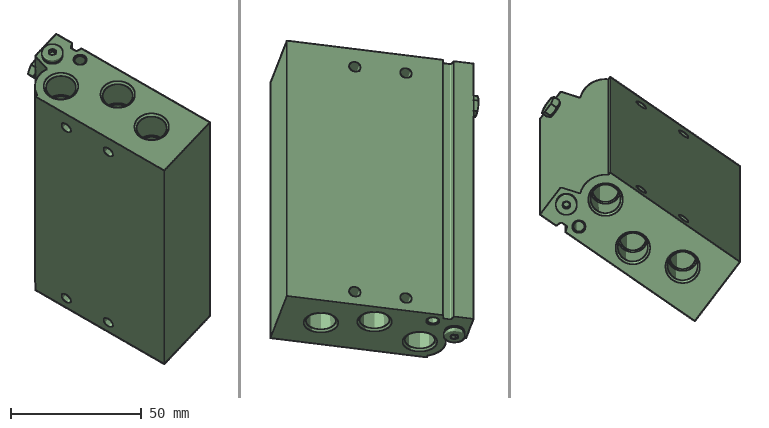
import cadquery as cq
import math

OVERALL_LENGTH = 123.3
OVERALL_WIDTH = 76.5
BLOCK_LENGTH = 118.0
BLOCK_WIDTH = 73.1
BLOCK_DEPTH = 29.5

LIP_Y = 15.9
STEP_Y = 13.6
LIP_RADIUS = 0.5
STEP_RADIUS = 0.4
FOOT_X = 11.8
NOSE_RADIUS = 10.0

GROOVE_X = 9.9
GROOVE_MOUTH = 4.3
GROOVE_FLOOR = 3.0
GROOVE_DEPTH = 2.2
GROOVE_RADIUS = 0.7

PORT_CENTRES = [(16.8, 9.9), (36.6, 19.5), (56.5, 14.4)]
PORT_MOUTH_DIAMETER = 13.2
PORT_THREAD_DIAMETER = 11.5
PORT_BORE_DIAMETER = 10.0
PORT_THREAD_DEPTH = 12.3

PILOT_CENTRE = (14.9, 24.7)
PILOT_MOUTH_DIAMETER = 5.0
PILOT_DIAMETER = 4.2

MOUNT_DIAMETER = 4.5
MOUNT_X = [26.5, 46.5]
MOUNT_Z = [5.8, 109.7]

PLUG_CENTRE = (5.4, 19.7)
PLUG_HEIGHT = (OVERALL_LENGTH - BLOCK_LENGTH) / 2
PLUG_HEAD_DIAMETER = 8.0
PLUG_EDGE_RADIUS = 0.2
PLUG_NECK_DIAMETER = PLUG_HEAD_DIAMETER - 2 * PLUG_EDGE_RADIUS
PLUG_NECK_HEIGHT = 0.7
SOCKET_FLATS = 2.5
SOCKET_MOUTH_DIAMETER = 3.0
SOCKET_DEPTH = 1.5

SCREW_Y = PLUG_CENTRE[1]
SCREW_Z = 105.0
SCREW_HEIGHT = OVERALL_WIDTH - BLOCK_WIDTH
SCREW_FLATS = 7.0
SCREW_NECK_HEIGHT = 0.4
SCREW_INNER_CHAMFER = 0.5
SCREW_OUTER_CHAMFER = 0.1


def hexagon_corners(flats):
    """Diameter of the circle through the corners of a hexagon."""
    return flats / math.cos(math.pi / 6)


def cylinder(centre, diameter, bottom, height):
    return cq.Workplane("XY", origin=(*centre, bottom)).circle(diameter / 2).extrude(height)


def countersunk_bore(centre, mouth_diameter, diameter):
    """Cutter for a bore through the block with a 45 degree countersink at both ends."""
    x, y = centre
    mouth = mouth_diameter / 2
    bore = diameter / 2
    sink = mouth - bore
    profile = [
        (0, 0), (mouth, 0), (bore, sink),
        (bore, BLOCK_LENGTH - sink), (mouth, BLOCK_LENGTH), (0, BLOCK_LENGTH),
    ]
    return cq.Workplane("XZ").polyline(profile).close().revolve(360, (0, 0), (0, 1)).translate((x, y, 0))


def port(centre):
    """Cutter for a through bore with a wider, countersunk thread bore at each end."""
    core_length = BLOCK_LENGTH - 2 * PORT_THREAD_DEPTH
    sleeve = cylinder(centre, PORT_THREAD_DIAMETER, PORT_THREAD_DEPTH, core_length)
    sleeve = sleeve.cut(cylinder(centre, PORT_BORE_DIAMETER, PORT_THREAD_DEPTH, core_length))
    return countersunk_bore(centre, PORT_MOUTH_DIAMETER, PORT_THREAD_DIAMETER).cut(sleeve)


def nose_top_x():
    """X of the point where the lip underside meets the rounded nose."""
    nose_x, nose_y = PORT_CENTRES[0]
    return nose_x - math.sqrt(NOSE_RADIUS**2 - (STEP_Y - nose_y) ** 2)


def vertical_edge_at(x, y):
    """Selector for the full-length edge of the block at the given outline corner."""
    return cq.selectors.NearestToPointSelector((x, y, BLOCK_LENGTH / 2))


def block_outline():
    nose_x, nose_y = PORT_CENTRES[0]
    nose_left = (nose_x - NOSE_RADIUS, nose_y)
    nose_foot = (FOOT_X, nose_y - math.sqrt(NOSE_RADIUS**2 - (nose_x - FOOT_X) ** 2))
    return (
        cq.Workplane("XY")
        .moveTo(FOOT_X, 0)
        .lineTo(BLOCK_WIDTH, 0)
        .lineTo(BLOCK_WIDTH, BLOCK_DEPTH)
        .lineTo(GROOVE_X + GROOVE_MOUTH / 2, BLOCK_DEPTH)
        .lineTo(GROOVE_X + GROOVE_FLOOR / 2, BLOCK_DEPTH - GROOVE_DEPTH)
        .lineTo(GROOVE_X - GROOVE_FLOOR / 2, BLOCK_DEPTH - GROOVE_DEPTH)
        .lineTo(GROOVE_X - GROOVE_MOUTH / 2, BLOCK_DEPTH)
        .lineTo(0, BLOCK_DEPTH)
        .lineTo(0, LIP_Y)
        .lineTo(nose_top_x(), STEP_Y)
        .threePointArc(nose_left, nose_foot)
        .close()
    )


def make_block():
    block = block_outline().extrude(BLOCK_LENGTH)
    block = block.edges(vertical_edge_at(0, LIP_Y)).fillet(LIP_RADIUS)
    block = block.edges(vertical_edge_at(nose_top_x(), STEP_Y)).fillet(STEP_RADIUS)
    for floor_x in (GROOVE_X - GROOVE_FLOOR / 2, GROOVE_X + GROOVE_FLOOR / 2):
        block = block.edges(vertical_edge_at(floor_x, BLOCK_DEPTH - GROOVE_DEPTH)).fillet(GROOVE_RADIUS)
    for centre in PORT_CENTRES:
        block = block.cut(port(centre))
    block = block.cut(countersunk_bore(PILOT_CENTRE, PILOT_MOUTH_DIAMETER, PILOT_DIAMETER))
    mount_points = [(x, z) for x in MOUNT_X for z in MOUNT_Z]
    mounts = cq.Workplane("XZ").pushPoints(mount_points).circle(MOUNT_DIAMETER / 2).extrude(-BLOCK_DEPTH)
    return block.cut(mounts)


def make_plug(on_top):
    """Round plug with a neck and a hexagon socket, seated on either end of the block."""
    neck = cylinder((0, 0), PLUG_NECK_DIAMETER, 0, PLUG_NECK_HEIGHT)
    head = cylinder((0, 0), PLUG_HEAD_DIAMETER, PLUG_NECK_HEIGHT, PLUG_HEIGHT - PLUG_NECK_HEIGHT)
    head = head.edges("%CIRCLE").fillet(PLUG_EDGE_RADIUS)
    socket = (
        cq.Workplane("XY", origin=(0, 0, PLUG_HEIGHT - SOCKET_DEPTH))
        .polygon(6, hexagon_corners(SOCKET_FLATS))
        .extrude(SOCKET_DEPTH)
    )
    sink_depth = (SOCKET_MOUTH_DIAMETER - SOCKET_FLATS) / 2
    sink_base = cq.Vector(0, 0, PLUG_HEIGHT - sink_depth)
    sink = cq.Solid.makeCone(SOCKET_FLATS / 2, SOCKET_MOUTH_DIAMETER / 2, sink_depth, pnt=sink_base)
    plug = neck.union(head).cut(socket).cut(cq.Workplane(sink))
    if on_top:
        return plug.translate((*PLUG_CENTRE, BLOCK_LENGTH))
    return plug.mirror("XY").translate((*PLUG_CENTRE, 0))


def make_screw():
    """Hexagon head seated on the -X wall by a round neck, with its corners turned off at both ends."""
    corner_radius = hexagon_corners(SCREW_FLATS) / 2
    flat_radius = SCREW_FLATS / 2
    head = cq.Workplane("YZ").polygon(6, hexagon_corners(SCREW_FLATS)).extrude(-SCREW_HEIGHT)
    envelope_profile = [
        (0, 0),
        (0, flat_radius),
        (-SCREW_NECK_HEIGHT, flat_radius),
        (-SCREW_NECK_HEIGHT - SCREW_INNER_CHAMFER, corner_radius),
        (SCREW_OUTER_CHAMFER - SCREW_HEIGHT, corner_radius),
        (-SCREW_HEIGHT, flat_radius),
        (-SCREW_HEIGHT, 0),
    ]
    envelope = cq.Workplane("XZ").polyline(envelope_profile).close().revolve(360, (0, 0), (1, 0))
    return head.intersect(envelope).translate((0, SCREW_Y, SCREW_Z))


block = make_block()
plugs = [make_plug(on_top) for on_top in (True, False)]
screw = make_screw()

result = cq.Compound.makeCompound([block.val(), *[plug.val() for plug in plugs], screw.val()])